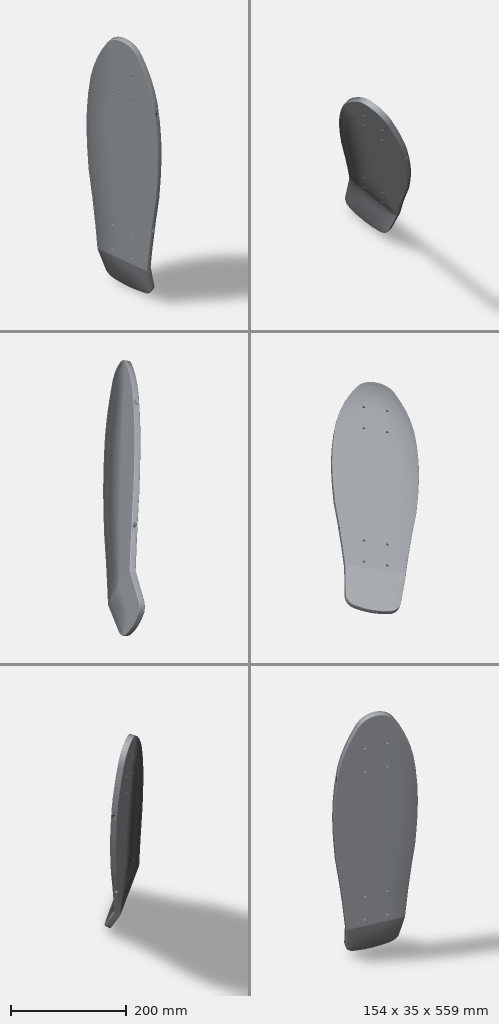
import cadquery as cq
import math

height = 559.0
overall_depth = 35.0
thickness = 11.0
rim_radius = 1.0
widest_half = 77.0

tail_angle = 17.7
tail_sin = math.sin(math.radians(tail_angle))
tail_cos = math.cos(math.radians(tail_angle))
tail_length = rim_radius + (overall_depth - thickness - rim_radius * (1 - tail_cos)) / tail_sin
bend_z = (tail_length - rim_radius) * tail_cos + (thickness - rim_radius) * tail_sin + rim_radius
bend_half = 53.5

tail_end_half = 47.5
tail_crown = 9.0
tail_corner_radius = 22.5
tail_side_length = tail_length - tail_crown

taper_top = (72.0, 240.0)
waist_mid = (74.5, 270.5)
belly_bottom = (76.0, 299.5)
belly_middle = (widest_half, 336.5)
belly_top = (68.0, 449.0)
shoulder_middle = (55.5, 494.5)
nose_start = (33.0, 540.5)
nose_tip = (0.0, height)

taper_widening = taper_top[0] - bend_half
taper_rise = taper_top[1] - bend_z
taper_slant = math.atan2(taper_widening, taper_rise)
tail_slant = math.atan2(bend_half - tail_end_half, tail_side_length)
taper_hollow = math.hypot(taper_widening, taper_rise) / 2 * math.tan((taper_slant - tail_slant) / 2)
taper_middle = (
    bend_half + taper_widening / 2 - taper_hollow * math.cos(taper_slant),
    bend_z + taper_rise / 2 + taper_hollow * math.sin(taper_slant),
)

mount_diameter = 5.0
mount_half_spacing = 20.5
mount_pitch = 54.0
mount_bottoms = (93.0, 435.5)

cord_diameter = 8.5
cord_depth = 14.5
cord_overrun = 11.0
cord_holes = ((71.0, 428.0, -60.0), (69.0, 163.0, 50.0))


def mirror(point):
    return (-point[0], point[1])


def round_rims(slab):
    """Round the edges of both faces, except along the bend where the slab continues."""
    return slab.faces("|Y").edges("not |X").fillet(rim_radius)


def make_deck():
    blank = (
        cq.Workplane("XZ")
        .moveTo(-bend_half, bend_z)
        .lineTo(bend_half, bend_z)
        .threePointArc(taper_middle, taper_top)
        .threePointArc(waist_mid, belly_bottom)
        .threePointArc(belly_middle, belly_top)
        .threePointArc(shoulder_middle, nose_start)
        .threePointArc(nose_tip, mirror(nose_start))
        .threePointArc(mirror(shoulder_middle), mirror(belly_top))
        .threePointArc(mirror(belly_middle), mirror(belly_bottom))
        .threePointArc(mirror(waist_mid), mirror(taper_top))
        .threePointArc(mirror(taper_middle), (-bend_half, bend_z))
        .close()
        .extrude(-thickness)
    )
    return round_rims(blank)


def make_bend(deck):
    """Swing the deck's lower end section about the line where the rear faces meet."""
    section = deck.faces("<Z").val()
    hinge_start = cq.Vector(0, thickness, bend_z)
    hinge_end = hinge_start + cq.Vector(5.5, 0, 0)
    return cq.Workplane(cq.Solid.revolve(section, tail_angle, hinge_start, hinge_end))


def make_tail():
    flat = (
        cq.Workplane("XZ", origin=(0, -thickness, 0))
        .moveTo(bend_half, 0)
        .lineTo(-bend_half, 0)
        .lineTo(-tail_end_half, -tail_side_length)
        .threePointArc((0, -tail_length), (tail_end_half, -tail_side_length))
        .close()
        .extrude(-thickness)
        .edges("|Y")
        .edges("<Z")
        .fillet(tail_corner_radius)
    )
    return round_rims(flat).rotate((0, 0, 0), (1, 0, 0), tail_angle).translate((0, thickness, bend_z))


def make_mount_holes():
    centres = [
        (x, z)
        for x in (-mount_half_spacing, mount_half_spacing)
        for bottom in mount_bottoms
        for z in (bottom, bottom + mount_pitch)
    ]
    return cq.Workplane("XZ").pushPoints(centres).circle(mount_diameter / 2).extrude(-thickness)


def make_cord_hole(side, half, z, tilt):
    inward = cq.Vector(-side * math.cos(math.radians(tilt)), 0, math.sin(math.radians(tilt)))
    start = cq.Vector(side * half, thickness / 2, z) - inward * cord_overrun
    return cq.Workplane(cq.Solid.makeCylinder(cord_diameter / 2, cord_overrun + cord_depth, start, inward))


deck = make_deck()
board = deck.union(make_bend(deck)).union(make_tail())
result = board.cut(make_mount_holes())
for side in (-1, 1):
    for half, z, tilt in cord_holes:
        result = result.cut(make_cord_hole(side, half, z, tilt))